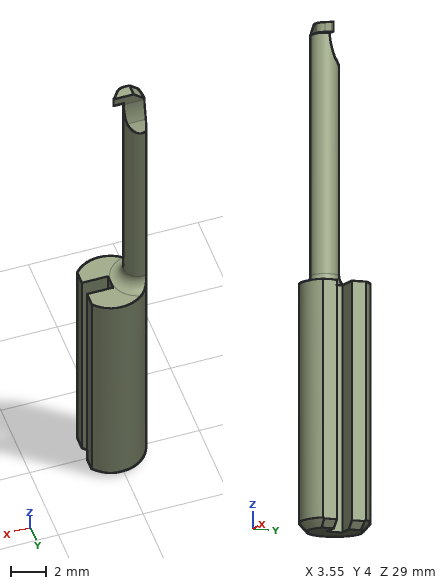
import cadquery as cq

total_length = 29.0
shank_radius = 2.0
shank_length = 14.05
flat_x = 1.55
bottom_chamfer_width = 0.44
bottom_chamfer_height = 0.5

slot_width = 0.9

neck_radius = 0.8
neck_center_x = -1.6
root_fillet = 0.75

head_thickness = 0.55
head_base_z = total_length - head_thickness
tip_x = -0.17
tip_land_end = (-0.25, -0.1)
head_back_y = -0.72
head_bevel_width = 0.65
arc_start_x = -1.05
arc_middle = (-0.72, -0.65)
arc_end = (-0.5, -0.4)

relief_top_z = 28.35
relief_arc_middle = (0.12, 27.7)
relief_arc_end = (0.35, 27.1)
relief_end = (neck_radius, 26.55)


def cylinder_envelope():
    """Full-length cylinder that bounds the shank, neck and head."""
    return cq.Workplane("XY").circle(shank_radius).extrude(total_length)


def make_shank():
    """Round shank with a side flat and a bevelled bottom edge."""
    shank = cq.Workplane("XY").circle(shank_radius).extrude(shank_length)
    outside_flat = (
        cq.Workplane("XY")
        .box(shank_radius, 2 * shank_radius, shank_length, centered=(False, True, False))
        .translate((flat_x, 0, 0))
    )
    shank = shank.cut(outside_flat)
    return shank.faces("<Z").edges().chamfer(bottom_chamfer_height, bottom_chamfer_width)


def make_neck():
    """Round neck with a concave fillet at its root, trimmed by the shank cylinder."""
    inner_x = neck_center_x + neck_radius
    neck = (
        cq.Workplane("XZ")
        .moveTo(neck_center_x, shank_length)
        .lineTo(inner_x + root_fillet, shank_length)
        .radiusArc((inner_x, shank_length + root_fillet), root_fillet)
        .lineTo(inner_x, head_base_z)
        .lineTo(neck_center_x, head_base_z)
        .close()
        .revolve(360, (neck_center_x, 0, 0), (neck_center_x, 1, 0))
    )
    return neck.intersect(cylinder_envelope())


def make_head():
    """Hooked cutting head with a curved clearance side and an outer bevel."""
    head = (
        cq.Workplane("XY", origin=(0, 0, head_base_z))
        .moveTo(-shank_radius, 0)
        .lineTo(-shank_radius, head_back_y)
        .lineTo(arc_start_x, head_back_y)
        .threePointArc(arc_middle, arc_end)
        .lineTo(*tip_land_end)
        .lineTo(tip_x, 0)
        .close()
        .extrude(head_thickness)
    )
    bevel = (
        cq.Workplane("XZ")
        .moveTo(-shank_radius, head_base_z)
        .lineTo(-shank_radius, total_length)
        .lineTo(head_bevel_width - shank_radius, total_length)
        .close()
        .extrude(shank_radius, both=True)
    )
    return head.intersect(cylinder_envelope()).cut(bevel)


def make_relief():
    """Material removed behind the cutting face at the top of the neck."""
    return (
        cq.Workplane("YZ")
        .moveTo(0, total_length)
        .lineTo(0, relief_top_z)
        .threePointArc(relief_arc_middle, relief_arc_end)
        .lineTo(*relief_end)
        .lineTo(shank_radius, relief_end[1])
        .lineTo(shank_radius, total_length)
        .close()
        .extrude(2 * shank_radius, both=True)
    )


def make_slot():
    """Slot from the shank axis through the side flat, open at both ends."""
    return cq.Workplane("XY").box(
        shank_radius, slot_width, total_length, centered=(False, True, False)
    )


result = make_shank().union(make_neck()).union(make_head()).cut(make_relief()).cut(make_slot())